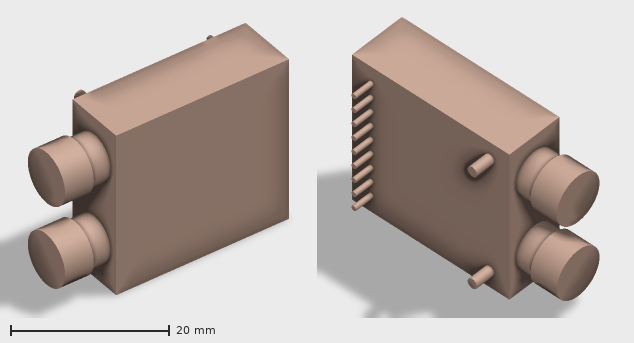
import cadquery as cq

body_width = 9.35
body_height = 25.4
total_length = 34.5
total_width = 12.6

neck_diameter = 7.0
neck_length = 3.0
head_diameter = 8.0
head_length = 4.5
connector_spacing = 13.0

pin_count = 9
pin_pitch = 2.45
pin_diameter = 0.83
pin_inset = 3.3
post_diameter = 1.62
post_inset = 3.38

body_length = total_length - neck_length - head_length
pin_length = total_width - body_width
pin_span = (pin_count - 1) * pin_pitch


def make_connector(z):
    """Neck and wider head, projecting toward -Y."""
    neck_plane = cq.Plane(origin=(body_width / 2, 0, z), xDir=(1, 0, 0), normal=(0, -1, 0))
    neck = cq.Workplane(neck_plane).circle(neck_diameter / 2).extrude(neck_length)
    return neck.faces("<Y").workplane().circle(head_diameter / 2).extrude(head_length)


def make_pin(y, z, diameter):
    """Round pin projecting toward -X."""
    pin_plane = cq.Plane(origin=(0, y, z), xDir=(0, 1, 0), normal=(-1, 0, 0))
    return cq.Workplane(pin_plane).circle(diameter / 2).extrude(pin_length)


result = cq.Workplane("XY").box(body_width, body_length, body_height, centered=(False, False, True))

for side in (-1, 1):
    result = result.union(make_connector(side * connector_spacing / 2))

for index in range(pin_count):
    pin_z = index * pin_pitch - pin_span / 2
    result = result.union(make_pin(body_length - pin_inset, pin_z, pin_diameter))

for side in (-1, 1):
    result = result.union(make_pin(post_inset, side * pin_span / 2, post_diameter))